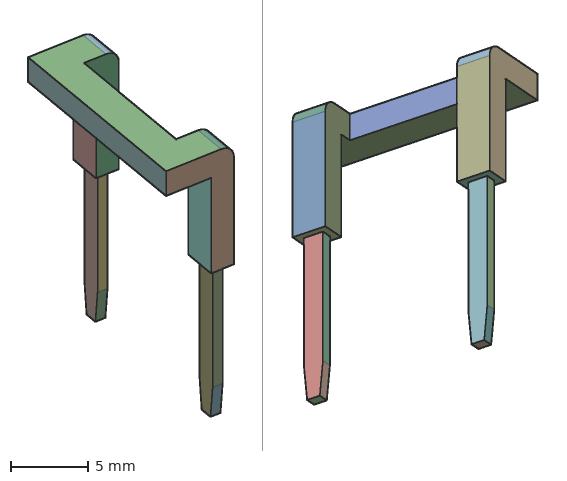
import cadquery as cq

width = 15.6
depth = 5.35
height = 21.5

bridge_thickness = 1.95
bridge_depth = 2.6
leg_width = 2.6
leg_depth = 1.8
bend_radius = 1.0

pin_length = 12.0
pin_width = 1.5
pin_thickness = 0.8
tip_width = 1.0
tip_length = 2.5

leg_center_x = (width - leg_width) / 2
leg_center_y = depth - leg_depth / 2


def bent_leg(center_x):
    """L-shaped leg with a rounded outer bend at the top rear edge."""
    bridge_bottom = height - bridge_thickness
    leg_front = depth - leg_depth
    return (
        cq.Workplane("YZ", origin=(center_x, 0, 0))
        .moveTo(0, bridge_bottom)
        .lineTo(leg_front, bridge_bottom)
        .lineTo(leg_front, pin_length)
        .lineTo(depth, pin_length)
        .lineTo(depth, height - bend_radius)
        .radiusArc((depth - bend_radius, height), -bend_radius)
        .lineTo(0, height)
        .close()
        .extrude(leg_width / 2, both=True)
    )


def pin(center_x):
    """Flat pin centered below a leg, tapered in width at its tip."""
    return (
        cq.Workplane("XZ", origin=(center_x, leg_center_y, 0))
        .moveTo(-tip_width / 2, 0)
        .lineTo(tip_width / 2, 0)
        .lineTo(pin_width / 2, tip_length)
        .lineTo(pin_width / 2, pin_length)
        .lineTo(-pin_width / 2, pin_length)
        .lineTo(-pin_width / 2, tip_length)
        .close()
        .extrude(pin_thickness / 2, both=True)
    )


result = cq.Workplane("XY").box(
    width, bridge_depth, bridge_thickness, centered=(True, False, False)
).translate((0, 0, height - bridge_thickness))

for side in (-1, 1):
    result = result.union(bent_leg(side * leg_center_x))
    result = result.union(pin(side * leg_center_x))